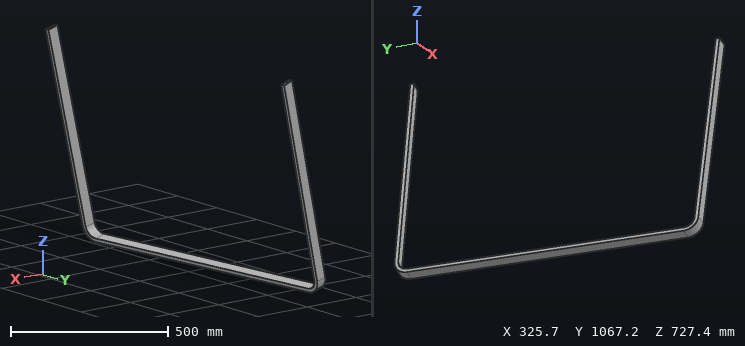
import cadquery as cq
import math

bar_width = 40.0
bar_thickness = 13.5
base_length = 946.0
leg_height = 737.95
middle_bend_radius = 48.0
lean_angle = 13.34
splay_angle = 3.34
heading_angle = 6.67

lean = math.radians(lean_angle)
splay = math.radians(splay_angle)
outward_per_rise = math.tan(splay) * math.sin(lean)
outward_per_width = math.tan(splay) * math.cos(lean)
leg_angle = math.pi / 2 - math.atan(outward_per_rise)


def mirrored(point):
    return (-point[0], point[1])


def u_outline(edge_offset):
    """Closed outline of the U in the leaning plane at edge_offset from the middle of the bar."""
    across_bar = cq.Vector(math.cos(lean), 0, -math.sin(lean))
    plane = cq.Plane(origin=across_bar * edge_offset, xDir=(0, 1, 0), normal=across_bar)

    outer = middle_bend_radius + edge_offset * outward_per_width / math.tan(leg_angle / 2)
    inner = outer - bar_thickness
    half_angle = leg_angle / 2

    def on_bend(radius, angle):
        """Point reached after turning by angle from the base."""
        return (base_length / 2 + radius * math.sin(angle), outer - radius * math.cos(angle))

    leg_length = (leg_height - on_bend(outer, leg_angle)[1]) / math.sin(leg_angle)

    def leg_end(radius):
        foot = on_bend(radius, leg_angle)
        return (foot[0] + leg_length * math.cos(leg_angle), foot[1] + leg_length * math.sin(leg_angle))

    return (
        cq.Workplane(plane)
        .moveTo(*mirrored(on_bend(outer, 0)))
        .lineTo(*on_bend(outer, 0))
        .threePointArc(on_bend(outer, half_angle), on_bend(outer, leg_angle))
        .lineTo(*leg_end(outer))
        .lineTo(*leg_end(inner))
        .lineTo(*on_bend(inner, leg_angle))
        .threePointArc(on_bend(inner, half_angle), on_bend(inner, 0))
        .lineTo(*mirrored(on_bend(inner, 0)))
        .threePointArc(mirrored(on_bend(inner, half_angle)), mirrored(on_bend(inner, leg_angle)))
        .lineTo(*mirrored(leg_end(inner)))
        .lineTo(*mirrored(leg_end(outer)))
        .lineTo(*mirrored(on_bend(outer, leg_angle)))
        .threePointArc(mirrored(on_bend(outer, half_angle)), mirrored(on_bend(outer, 0)))
        .close()
        .wires()
        .val()
    )


back_edge = u_outline(-bar_width / 2)
front_edge = u_outline(bar_width / 2)
bent_bar = cq.Workplane(cq.Solid.makeLoft([back_edge, front_edge], True))
result = bent_bar.rotate((0, 0, 0), (0, 0, 1), heading_angle)